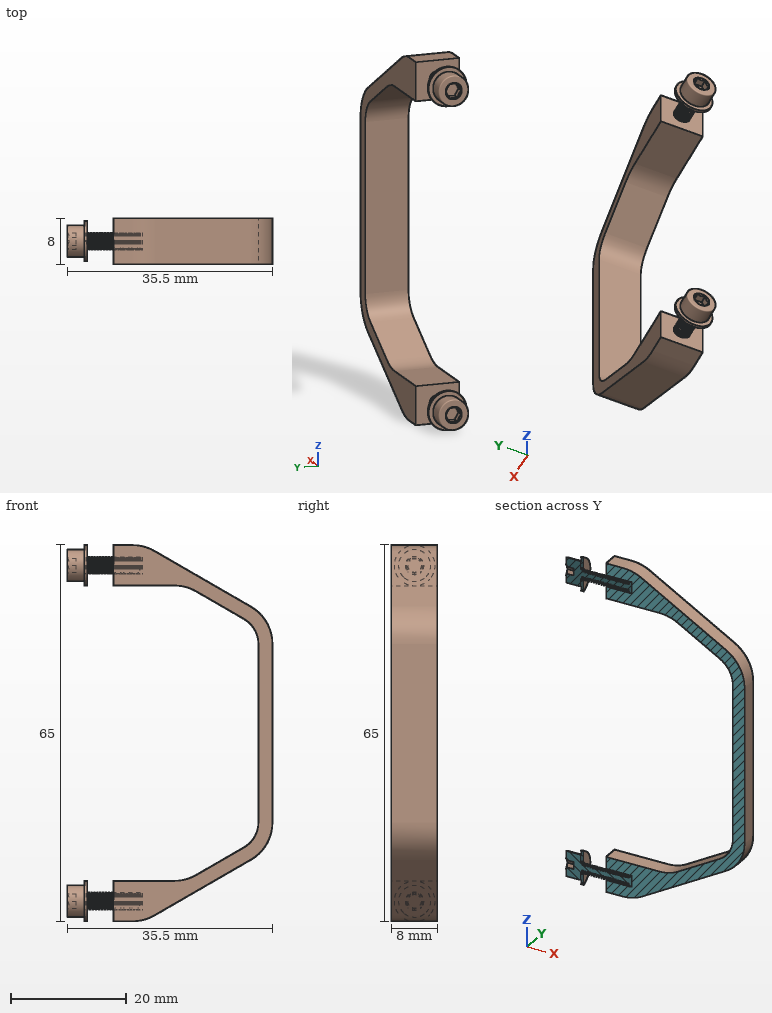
import cadquery as cq
import math

HANDLE_HEIGHT = 65.0
HANDLE_REACH = 27.5
HANDLE_WIDTH = 8.0
FOOT_HEIGHT = 7.0
BAR_THICKNESS = 2.5
ARM_SLOPE = math.radians(30)
FOOT_BEND_X = 5.3
FOOT_BEND_RADIUS = 7.5
ARM_ROOT_RADIUS = 7.5
GRIP_INNER_RADIUS = 5.0
GRIP_OUTER_RADIUS = GRIP_INNER_RADIUS + BAR_THICKNESS

THREAD_DIAMETER = 3.0
ROOT_DIAMETER = 2.35
THREAD_PITCH = 0.5
GROOVE_ROOT_WIDTH = 0.05
GROOVE_MOUTH_WIDTH = 0.45
GROOVE_OVERSHOOT = 0.05
SHANK_LENGTH = 10.0
THREAD_LENGTH = 9.4
HEAD_DIAMETER = 5.5
HEAD_HEIGHT = 3.0
HEAD_ROUNDING = 0.2
SOCKET_ACROSS_FLATS = 2.5
SOCKET_DEPTH = 1.5
SOCKET_MOUTH_DIAMETER = 3.0

WASHER_DIAMETER = 7.0
WASHER_BORE = 3.2
WASHER_THICKNESS = 0.5

HEAD_FACE_X = -8.0
UNDERHEAD_X = HEAD_FACE_X + HEAD_HEIGHT
WASHER_END_X = UNDERHEAD_X + WASHER_THICKNESS
SHANK_TIP_X = UNDERHEAD_X + SHANK_LENGTH
SCREW_Z = (HANDLE_HEIGHT - FOOT_HEIGHT) / 2
SCREW_HEIGHTS = [-SCREW_Z, SCREW_Z]


def rod(diameter, start_x, end_x):
    """Round bar along +X, centred on the X axis."""
    return cq.Workplane("YZ", origin=(start_x, 0, 0)).circle(diameter / 2).extrude(end_x - start_x)


def fillet_corner_pair(body, corner, radius):
    """Round the Y-direction edge at the (x, z) corner and its mirror image across Z = 0."""
    x, z = corner
    for height in (z, -z):
        edge = cq.selectors.NearestToPointSelector((x, 0, height))
        body = body.edges("|Y").edges(edge).fillet(radius)
    return body


def make_handle():
    top = HANDLE_HEIGHT / 2
    foot_inner = top - FOOT_HEIGHT
    grip_inner_x = HANDLE_REACH - BAR_THICKNESS
    arm_drop = BAR_THICKNESS / math.cos(ARM_SLOPE)

    def outer_arm_z(x):
        return top - (x - FOOT_BEND_X) * math.tan(ARM_SLOPE)

    foot_bend = (FOOT_BEND_X, top)
    grip_outer = (HANDLE_REACH, outer_arm_z(HANDLE_REACH))
    grip_inner = (grip_inner_x, outer_arm_z(grip_inner_x) - arm_drop)
    arm_root_x = FOOT_BEND_X + (FOOT_HEIGHT - arm_drop) / math.tan(ARM_SLOPE)
    arm_root = (arm_root_x, foot_inner)

    upper_outer = [(0, top), foot_bend, grip_outer]
    upper_inner = [grip_inner, arm_root, (0, foot_inner)]
    lower_outer = [(x, -z) for x, z in reversed(upper_outer)]
    lower_inner = [(x, -z) for x, z in reversed(upper_inner)]

    body = (
        cq.Workplane("XZ")
        .polyline(upper_outer + lower_outer + lower_inner + upper_inner)
        .close()
        .extrude(HANDLE_WIDTH / 2, both=True)
    )
    body = fillet_corner_pair(body, foot_bend, FOOT_BEND_RADIUS)
    body = fillet_corner_pair(body, arm_root, ARM_ROOT_RADIUS)
    body = fillet_corner_pair(body, grip_outer, GRIP_OUTER_RADIUS)
    body = fillet_corner_pair(body, grip_inner, GRIP_INNER_RADIUS)

    for z in SCREW_HEIGHTS:
        body = body.cut(rod(THREAD_DIAMETER, 0, SHANK_TIP_X).translate((0, 0, z)))
    return body


def make_thread_groove():
    """Right-hand helical groove around the Z axis, starting half a pitch above Z = 0."""
    root = ROOT_DIAMETER / 2
    mouth = THREAD_DIAMETER / 2 + GROOVE_OVERSHOOT

    half_profile = [(root, GROOVE_ROOT_WIDTH / 2), (mouth, GROOVE_MOUTH_WIDTH / 2)]
    other_half = [(radius, -axial) for radius, axial in reversed(half_profile)]
    helix = cq.Wire.makeHelix(THREAD_PITCH, THREAD_LENGTH, root)
    groove = (
        cq.Workplane("XZ")
        .polyline(half_profile + other_half)
        .close()
        .sweep(cq.Workplane(obj=helix), isFrenet=True)
    )
    return groove.translate((0, 0, THREAD_PITCH / 2))


def make_shank():
    """Threaded shank, turned about the Z axis and then laid along +X below the head."""
    blank = cq.Workplane("XY").circle(THREAD_DIAMETER / 2).extrude(SHANK_LENGTH)
    shank = blank.cut(make_thread_groove())
    return shank.rotate((0, 0, 0), (0, 1, 0), 90).translate((UNDERHEAD_X, 0, 0))


def make_screw():
    head = rod(HEAD_DIAMETER, HEAD_FACE_X, UNDERHEAD_X).edges().fillet(HEAD_ROUNDING)
    socket = (
        cq.Workplane("YZ", origin=(HEAD_FACE_X, 0, 0))
        .polygon(6, SOCKET_ACROSS_FLATS / math.cos(math.pi / 6))
        .extrude(SOCKET_DEPTH)
    )
    mouth_radius = SOCKET_MOUTH_DIAMETER / 2
    flat_radius = SOCKET_ACROSS_FLATS / 2
    countersink = cq.Solid.makeCone(
        mouth_radius,
        flat_radius,
        mouth_radius - flat_radius,
        pnt=cq.Vector(HEAD_FACE_X, 0, 0),
        dir=cq.Vector(1, 0, 0),
    )
    return head.cut(socket).cut(cq.Workplane(obj=countersink)).union(make_shank())


def make_washer():
    disc = rod(WASHER_DIAMETER, UNDERHEAD_X, WASHER_END_X)
    return disc.cut(rod(WASHER_BORE, UNDERHEAD_X, WASHER_END_X))


handle = make_handle().solids().val()
screw = make_screw().solids().val()
washer = make_washer().solids().val()
screws = [screw.translate(cq.Vector(0, 0, z)) for z in SCREW_HEIGHTS]
washers = [washer.translate(cq.Vector(0, 0, z)) for z in SCREW_HEIGHTS]

result = cq.Compound.makeCompound([handle, *screws, *washers])